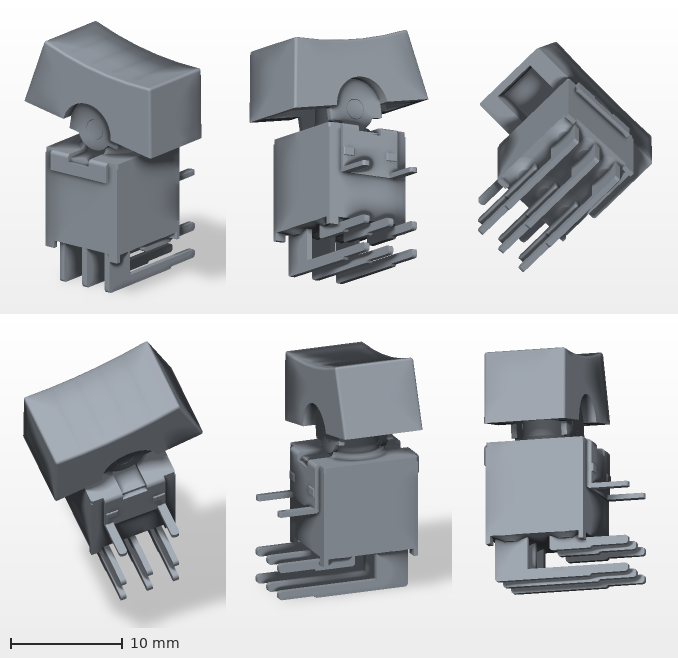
import cadquery as cq


housing_width = 8.15
housing_depth = 9.08
wall_bottom_z = -8.6
foot_bottom_z = -9.3
foot_width = 1.0
foot_depth = 0.42

sheet = 0.45
plate_corner_radius = 0.25
bend_radius = 0.35
front_flange_width = 6.29
front_flange_bottom_z = -1.82
rear_flange_width = 5.85
slot_width = 2.35
slot_bottom_z = -0.75
bump_width = 1.13
bump_height = 0.75
bump_rise = 0.13
bump_chamfer = 0.07
bump_offset_x = 2.28
bump_center_z = -2.6

pitch = 2.55
pin_thickness = 0.53
pin_width = 0.77
pin_tip_y = 8.37
pin_tip_radius = 0.29
pin_extra_depth = 0.188
root_width = 3.03
root_corner_radius = 0.29
bracket_pin_z = -4.3
upper_row_z = bracket_pin_z - 2 * pitch
lower_row_z = upper_row_z - pitch
root_embed = 0.45
sealant_diameter = 3.5
sealant_tip_diameter = 1.42
sealant_height = 0.38
sealant_sag = 0.07

collar_bottom_radius = 3.0
collar_top_radius = 2.75
collar_sag = 0.07
collar_height = 0.42
bushing_radius = 2.3
bushing_step_z = 0.89
actuator_radius = 2.21
actuator_top_z = 4.2
bushing_half_depth = 2.08

pivot_z = 2.0
tilt = 10.0
rocker_depth = 7.57
rocker_bottom_half = 7.3
rocker_top_half = 6.09
rocker_bottom_z = 0.3
rocker_top_z = 6.75
rocker_top_sag = 0.58
rocker_edge_radius = 0.25
rocker_end_wall = 0.66
rocker_cavity_top_z = 2.65
ear_half_width = 2.75
ear_bottom_z = -0.93
ear_thickness = 0.5
ear_round_radius = 1.93
pivot_hole_radius = 0.93
pivot_pin_radius = 0.89


def box(x_range, y_range, z_range):
    """Box between the given limits on each axis."""
    size = [high - low for low, high in (x_range, y_range, z_range)]
    low_corner = (x_range[0], y_range[0], z_range[0])
    return cq.Workplane("XY").box(*size, centered=False).translate(low_corner)


def centered(width):
    """Limits of a span centred on zero."""
    return (-width / 2, width / 2)


def make_housing():
    """Case with a foot in each lower corner."""
    body = box(centered(housing_width), centered(housing_depth), (foot_bottom_z, -sheet))
    recess_z = (foot_bottom_z, wall_bottom_z)
    across = box(centered(housing_width - 2 * foot_width), centered(housing_depth), recess_z)
    along = box(centered(housing_width), centered(housing_depth - 2 * foot_depth), recess_z)
    return body.cut(across).cut(along)


def make_bracket():
    """Top plate with a folded flange at the front and rear, slotted along Y."""
    half_depth = housing_depth / 2
    outer_y = half_depth + sheet
    plate = box(centered(housing_width), centered(housing_depth), (-sheet, 0))
    plate = plate.edges("|Z").fillet(plate_corner_radius)

    front = box(centered(front_flange_width), (-outer_y, -half_depth), (front_flange_bottom_z, 0))
    front = front.edges("|X and >Z").edges("<Y").fillet(bend_radius)

    rear_bottom_z = bracket_pin_z - sheet / 2
    rear = box(centered(rear_flange_width), (half_depth, outer_y), (rear_bottom_z, 0))
    top_outer_edge = rear.edges("|X and >Z").edges(">Y")
    bottom_inner_edge = rear.edges("|X and <Z").edges("<Y")
    rear = rear.newObject(top_outer_edge.vals() + bottom_inner_edge.vals()).fillet(bend_radius)

    slots = cq.Workplane("XY")
    for side in (-1, 1):
        slot_y = sorted((side * bushing_half_depth, side * outer_y))
        flange_y = sorted((side * half_depth, side * outer_y))
        slots = slots.union(box(centered(slot_width), slot_y, (-sheet, collar_height)))
        slots = slots.union(box(centered(slot_width), flange_y, (slot_bottom_z, 0)))

    collar = (
        cq.Workplane("XZ")
        .moveTo(0, -sheet)
        .lineTo(collar_bottom_radius, -sheet)
        .lineTo(collar_bottom_radius, 0)
        .sagittaArc((collar_top_radius, collar_height), collar_sag)
        .lineTo(0, collar_height)
        .close()
        .revolve(360, (0, 0, 0), (0, 1, 0))
    )
    bracket = plate.union(front).union(rear).union(collar).cut(slots)

    for side in (-1, 1):
        bump = cq.Workplane("XY").box(bump_width, 2 * bump_rise, bump_height)
        bump = bump.faces(">Y").chamfer(bump_chamfer)
        bracket = bracket.union(bump.translate((side * bump_offset_x, outer_y, bump_center_z)))
        pin_center_x = side * (rear_flange_width - pin_width) / 2
        pin = box(
            (pin_center_x - pin_width / 2, pin_center_x + pin_width / 2),
            (half_depth + sheet / 2, pin_tip_y),
            (rear_bottom_z, rear_bottom_z + sheet),
        )
        bracket = bracket.union(pin.edges("|Z and >Y").fillet(pin_tip_radius))
    return bracket


def make_terminal(center_x, root_y, pin_z):
    """Flat L-shaped terminal: root under the housing, pin pointing to +Y."""
    x_range = (center_x - pin_thickness / 2, center_x + pin_thickness / 2)
    front_y = root_y - root_width / 2
    shoulder_y = housing_depth / 2 + sheet
    pin_bottom_z = pin_z - pin_width / 2
    pin_top_z = pin_z + pin_width / 2
    arm_bottom_z = pin_bottom_z - pin_extra_depth

    pin = box(x_range, (front_y, pin_tip_y), (pin_bottom_z, pin_top_z))
    pin = pin.edges("|X and >Y").fillet(pin_tip_radius)
    arm = box(x_range, (front_y, shoulder_y), (arm_bottom_z, pin_top_z))
    arm = arm.edges("|X and <Z").edges(">Y").chamfer(pin_extra_depth)
    root = box(x_range, (front_y, front_y + root_width), (arm_bottom_z, wall_bottom_z + root_embed))
    terminal = pin.union(arm).union(root)
    return terminal.edges("|X").edges("<Z").edges("<Y").fillet(root_corner_radius)


def make_sealant(center_x, center_y):
    """Mound of sealant with a hollow flank around one terminal root."""
    tip_z = wall_bottom_z - sealant_height
    mound = (
        cq.Workplane("YZ")
        .moveTo(0, wall_bottom_z)
        .lineTo(sealant_diameter / 2, wall_bottom_z)
        .sagittaArc((sealant_tip_diameter / 2, tip_z), -sealant_sag)
        .lineTo(0, tip_z)
        .close()
        .revolve(360, (0, 0, 0), (0, 1, 0))
    )
    return mound.translate((center_x, center_y, 0))


def make_terminals():
    """Two rows of three terminals with their sealant mounds."""
    terminals = cq.Workplane("XY")
    sealant = cq.Workplane("XY")
    for root_y, pin_z in ((pitch, upper_row_z), (-pitch, lower_row_z)):
        for column in (-1, 0, 1):
            terminals = terminals.union(make_terminal(column * pitch, root_y, pin_z))
            sealant = sealant.union(make_sealant(column * pitch, root_y))
    recess = box(
        centered(housing_width),
        centered(housing_depth - 2 * foot_depth),
        (foot_bottom_z, wall_bottom_z),
    )
    return terminals.union(sealant.intersect(recess))


def make_bushing():
    """Stepped round post through the collar, flattened on the front and rear."""
    lower = cq.Workplane("XY").workplane(offset=-sheet).circle(bushing_radius)
    lower = lower.extrude(bushing_step_z + sheet)
    upper = cq.Workplane("XY").circle(actuator_radius).extrude(actuator_top_z)
    flats = box(
        centered(2 * bushing_radius),
        centered(2 * bushing_half_depth),
        (-sheet, actuator_top_z),
    )
    return lower.union(upper).intersect(flats)


def disc(radius, half_depth):
    """Disc on the pivot axis, centred on Y = 0."""
    return cq.Workplane("XZ").circle(radius).extrude(half_depth, both=True)


def make_rocker():
    """Cap with a concave top, an arch over each end of the pivot and two ears."""
    cap = (
        cq.Workplane("XZ")
        .moveTo(-rocker_bottom_half, rocker_bottom_z)
        .lineTo(rocker_bottom_half, rocker_bottom_z)
        .lineTo(rocker_top_half, rocker_top_z)
        .threePointArc((0, rocker_top_z - rocker_top_sag), (-rocker_top_half, rocker_top_z))
        .close()
        .extrude(rocker_depth / 2, both=True)
    )
    cap = cap.edges("not <Z").fillet(rocker_edge_radius)
    end_slope = (rocker_bottom_half - rocker_top_half) / (rocker_top_z - rocker_bottom_z)
    cavity_bottom_half = rocker_bottom_half - rocker_end_wall
    cavity_top_half = cavity_bottom_half - end_slope * (rocker_cavity_top_z - rocker_bottom_z)
    cavity = cq.Workplane("XZ").polyline([
        (-cavity_bottom_half, rocker_bottom_z),
        (cavity_bottom_half, rocker_bottom_z),
        (cavity_top_half, rocker_cavity_top_z),
        (-cavity_top_half, rocker_cavity_top_z),
    ]).close().extrude(bushing_half_depth, both=True)
    cap = cap.cut(disc(ear_half_width, rocker_depth / 2)).cut(cavity)

    ear_half_depth = bushing_half_depth + ear_thickness
    ear_y = centered(2 * ear_half_depth)
    upper_half = box(centered(2 * ear_half_width), ear_y, (0, ear_half_width))
    ears = box(centered(2 * ear_half_width), ear_y, (ear_bottom_z, rocker_bottom_z))
    ears = ears.union(disc(ear_half_width, ear_half_depth).intersect(upper_half))
    ears = ears.union(disc(ear_round_radius, ear_half_depth))
    ears = ears.cut(disc(pivot_hole_radius, ear_half_depth))
    gap_between_ears = box(
        centered(2 * ear_half_width),
        centered(2 * bushing_half_depth),
        (-ear_half_width, ear_half_width),
    )
    ears = ears.cut(gap_between_ears).union(disc(pivot_pin_radius, ear_half_depth))

    rocker = cap.union(ears)
    return rocker.rotate((0, 0, 0), (0, 1, 0), tilt).translate((0, 0, pivot_z))


result = (
    make_housing()
    .union(make_bracket())
    .union(make_terminals())
    .union(make_bushing())
    .union(make_rocker())
)